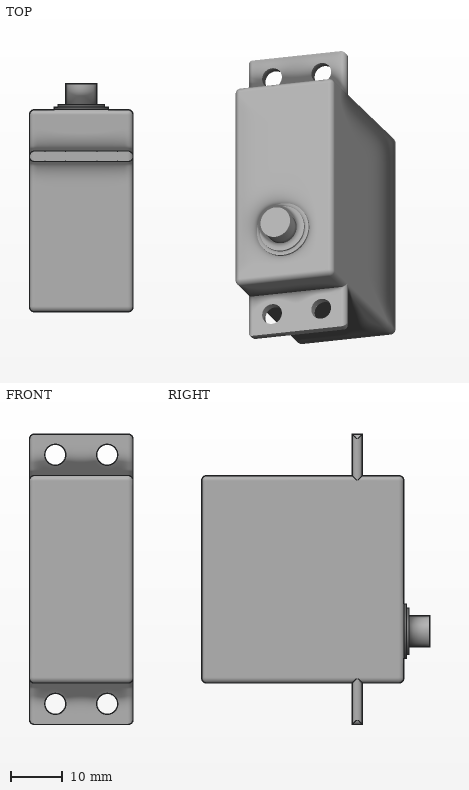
import cadquery as cq

case_width = 20.0
case_length = 39.0
case_height = 40.0
edge_radius = 1.0

tab_length = 8.0
tab_thickness = 2.0
tab_setback = 8.0
hole_diameter = 4.0
hole_pitch_x = 10.0
hole_end_margin = 4.0

shaft_diameter = 6.0
shaft_reach = 5.0
shaft_height_on_case = 10.0
lower_collar_diameter = 10.5
lower_collar_height = 0.5
upper_collar_diameter = 9.0
collar_height = 1.0

overall_height = case_height + 2 * tab_length
tab_center_y = -tab_setback - tab_thickness / 2
hole_pitch_z = overall_height - 2 * hole_end_margin
shaft_center_z = shaft_height_on_case - case_height / 2


def make_case():
    """Block with every edge rounded."""
    return (
        cq.Workplane("XY")
        .box(case_width, case_length, case_height)
        .edges()
        .fillet(edge_radius)
        .translate((0, -case_length / 2, 0))
    )


def make_tab_plate():
    """Plate through the case whose ends stick out as the two tabs.

    Full-round long sides and rounded corners meet in mitres, so the plate is
    the overlap of a slot-shaped bar and a round-cornered plate.
    """
    slot_bar = (
        cq.Workplane("XY")
        .slot2D(case_width, tab_thickness)
        .extrude(overall_height / 2, both=True)
    )
    corner_plate = (
        cq.Workplane("XZ")
        .rect(case_width, overall_height)
        .extrude(tab_thickness / 2, both=True)
        .edges("|Y")
        .fillet(edge_radius)
    )
    return slot_bar.intersect(corner_plate).translate((0, tab_center_y, 0))


def make_mounting_holes():
    """Pins for the four holes through the tabs."""
    return (
        cq.Workplane("XZ", origin=(0, tab_center_y, 0))
        .rect(hole_pitch_x, hole_pitch_z, forConstruction=True)
        .vertices()
        .circle(hole_diameter / 2)
        .extrude(tab_thickness, both=True)
    )


def make_output():
    """Shaft standing on the two stacked collar discs, all on one axis along +Y."""
    face = cq.Workplane("XZ", origin=(0, 0, shaft_center_z))
    shaft = face.circle(shaft_diameter / 2).extrude(-shaft_reach)
    lower_disc = face.circle(lower_collar_diameter / 2).extrude(-lower_collar_height)
    upper_disc = face.circle(upper_collar_diameter / 2).extrude(-collar_height)
    return shaft.union(lower_disc).union(upper_disc)


result = make_case().union(make_tab_plate()).cut(make_mounting_holes()).union(make_output())